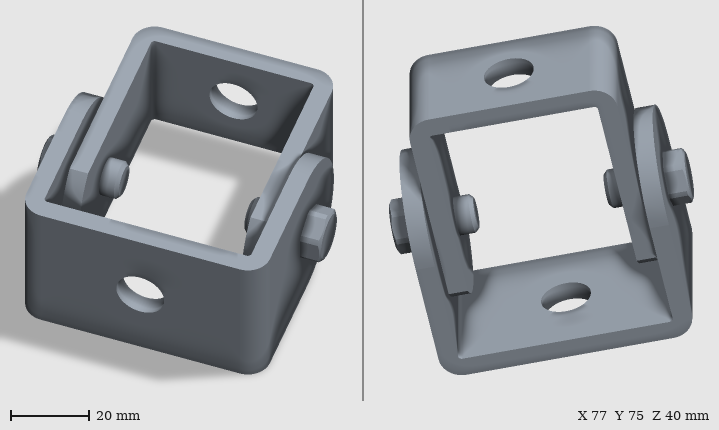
import cadquery as cq
import math


thickness = 5.0
inner_bend_radius = 1.0
outer_bend_radius = inner_bend_radius + thickness
web_hole_diameter = 13.0
arm_end_radius = 20.0

outer_width = 66.0
outer_length = 54.0
outer_height = 2 * arm_end_radius
outer_tip_overhang = 19.0

arm_gap = 1.0
inner_width = outer_width - 2 * (thickness + arm_gap)
inner_length = 60.0
inner_height = 30.0
inner_tip_overhang = arm_end_radius

shank_diameter = 10.0
shank_length = 16.0
tip_chamfer = 1.0
head_height = 5.5
head_across_flats = 13.0
head_corner_diameter = 14.2
head_face_diameter = 12.0
head_chamfer_angle = 30.0
left_head_turn = -7.5
right_head_turn = 0.0


def make_bracket(width, length, height, web_y, direction):
    """U-shaped bracket; its arms run from the web at web_y along Y in the given direction (+1 or -1)."""
    middle_y = web_y + direction * length / 2
    cavity_length = length - thickness
    cavity_y = web_y + direction * (thickness + cavity_length / 2)
    web_edges = "|Z and <Y" if direction > 0 else "|Z and >Y"

    body = cq.Workplane("XY").box(width, length, height).translate((0, middle_y, 0))
    body = body.edges(web_edges).fillet(outer_bend_radius)
    cavity = cq.Workplane("XY").box(width - 2 * thickness, cavity_length, height)
    cavity = cavity.translate((0, cavity_y, 0)).edges(web_edges).fillet(inner_bend_radius)
    body = body.cut(cavity)

    tip_y = web_y + direction * length
    half_height = height / 2
    arc_depth = arm_end_radius - math.sqrt(arm_end_radius**2 - half_height**2)
    arc_start_y = tip_y - direction * arc_depth
    side_profile = (
        cq.Workplane("YZ")
        .moveTo(web_y, -half_height)
        .lineTo(arc_start_y, -half_height)
        .threePointArc((tip_y, 0), (arc_start_y, half_height))
        .lineTo(web_y, half_height)
        .close()
        .extrude(width / 2, both=True)
    )
    body = body.intersect(side_profile)

    bolt_holes = cq.Workplane("YZ").circle(shank_diameter / 2).extrude(width / 2, both=True)
    web_center_y = web_y + direction * thickness / 2
    web_hole = (
        cq.Workplane("XZ", origin=(0, web_center_y, 0))
        .circle(web_hole_diameter / 2)
        .extrude(thickness, both=True)
    )
    return body.cut(bolt_holes).cut(web_hole)


def make_bolt(side, head_turn):
    """Bolt on the side -1 or +1 of X, head outside and tip pointing at the middle."""
    shank = cq.Workplane("YZ").circle(shank_diameter / 2).extrude(shank_length)
    shank = shank.faces(">X").chamfer(tip_chamfer)

    hexagon = (
        cq.Workplane("YZ")
        .polygon(6, head_across_flats, circumscribed=True)
        .extrude(-head_height)
        .rotate((0, 0, 0), (1, 0, 0), head_turn)
    )
    face_radius = head_face_diameter / 2
    corner_radius = head_corner_diameter / 2
    chamfer_length = (corner_radius - face_radius) * math.tan(math.radians(head_chamfer_angle))
    turned_blank = (
        cq.Workplane("XY")
        .moveTo(0, 0)
        .lineTo(0, corner_radius)
        .lineTo(-head_height + chamfer_length, corner_radius)
        .lineTo(-head_height, face_radius)
        .lineTo(-head_height, 0)
        .close()
        .revolve(360, (0, 0, 0), (1, 0, 0))
    )
    bolt = hexagon.intersect(turned_blank).union(shank)
    if side > 0:
        bolt = bolt.rotate((0, 0, 0), (0, 0, 1), 180)
    return bolt.translate((side * outer_width / 2, 0, 0))


outer_web_y = outer_tip_overhang - outer_length
outer_bracket = make_bracket(outer_width, outer_length, outer_height, outer_web_y, 1)

inner_web_y = inner_length - inner_tip_overhang
inner_bracket = make_bracket(inner_width, inner_length, inner_height, inner_web_y, -1)

bolts = [make_bolt(side, turn) for side, turn in ((-1, left_head_turn), (1, right_head_turn))]

result = cq.Compound.makeCompound(
    [outer_bracket.val(), inner_bracket.val(), *[bolt.val() for bolt in bolts]]
)